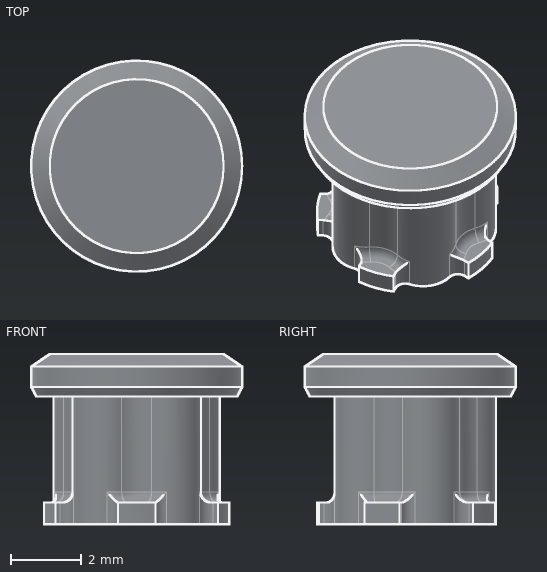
import cadquery as cq
import math

LOBE_COUNT = 5
PITCH_ANGLE = 360 / LOBE_COUNT
FIRST_FOOT_ANGLE = -90
TOTAL_HEIGHT = 4.84

HEAD_RADIUS = 3.0
HEAD_HEIGHT = 1.21
TOP_BEVEL_WIDTH = 0.53
TOP_BEVEL_HEIGHT = 0.36
BOTTOM_BEVEL_WIDTH = 0.14
BOTTOM_BEVEL_HEIGHT = 0.27
STEM_HEIGHT = TOTAL_HEIGHT - HEAD_HEIGHT

LOBE_RADIUS = 0.95
LOBE_CENTER_RADIUS = 1.49
VALLEY_RADIUS = 0.9

FOOT_OUTER_RADIUS = 2.65
FOOT_WIDTH = 1.06
FOOT_HEIGHT = 0.62
FOOT_FILLET = 0.3


def polar(radius, degrees):
    """Point at the given radius and angle around the Z axis."""
    angle = math.radians(degrees)
    return (radius * math.cos(angle), radius * math.sin(angle))


def make_head():
    """Revolved head, bevelled above and below its cylindrical rim."""
    bottom_radius = HEAD_RADIUS - BOTTOM_BEVEL_WIDTH
    top_radius = HEAD_RADIUS - TOP_BEVEL_WIDTH
    profile = [
        (0, STEM_HEIGHT),
        (bottom_radius, STEM_HEIGHT),
        (HEAD_RADIUS, STEM_HEIGHT + BOTTOM_BEVEL_HEIGHT),
        (HEAD_RADIUS, TOTAL_HEIGHT - TOP_BEVEL_HEIGHT),
        (top_radius, TOTAL_HEIGHT),
        (0, TOTAL_HEIGHT),
    ]
    return cq.Workplane("XZ").polyline(profile).close().revolve(360, (0, 0), (0, 1))


def make_stem():
    """Prism of alternating, mutually tangent lobe and valley arcs."""
    half_pitch = math.radians(PITCH_ANGLE / 2)
    lobe_offset = LOBE_CENTER_RADIUS * math.sin(half_pitch)
    lobe_depth = LOBE_CENTER_RADIUS * math.cos(half_pitch)
    center_gap = LOBE_RADIUS + VALLEY_RADIUS
    valley_center_radius = lobe_depth + math.sqrt(center_gap**2 - lobe_offset**2)
    valley_floor_radius = valley_center_radius - VALLEY_RADIUS
    lobe_tip_radius = LOBE_CENTER_RADIUS + LOBE_RADIUS

    lobe_share = LOBE_RADIUS / center_gap
    tangent_along = lobe_depth + (valley_center_radius - lobe_depth) * lobe_share
    tangent_across = lobe_offset * (1 - lobe_share)
    tangent_radius = math.hypot(tangent_along, tangent_across)
    tangent_angle = math.degrees(math.atan2(tangent_across, tangent_along))

    outline = cq.Workplane("XY")
    outline = outline.moveTo(*polar(tangent_radius, FIRST_FOOT_ANGLE - tangent_angle))
    for index in range(LOBE_COUNT):
        valley_angle = FIRST_FOOT_ANGLE + index * PITCH_ANGLE
        lobe_angle = valley_angle + PITCH_ANGLE / 2
        next_valley_angle = valley_angle + PITCH_ANGLE
        outline = outline.threePointArc(
            polar(valley_floor_radius, valley_angle),
            polar(tangent_radius, valley_angle + tangent_angle),
        )
        outline = outline.threePointArc(
            polar(lobe_tip_radius, lobe_angle),
            polar(tangent_radius, next_valley_angle - tangent_angle),
        )
    return outline.close().extrude(STEM_HEIGHT)


def make_coved_flange():
    """Foot-high disc around the stem, with a concave fillet where the two meet."""
    disc = cq.Workplane("XY").circle(FOOT_OUTER_RADIUS).extrude(FOOT_HEIGHT)
    flange = disc.union(make_stem())
    shoulder = flange.faces("+Z").faces("<Z")
    stem_outline = shoulder.val().innerWires()[0]
    return flange.newObject(stem_outline.Edges()).fillet(FOOT_FILLET)


def make_foot_column():
    """Radial bar over one foot, flared by fillets onto the lobes on either side."""
    half_width = FOOT_WIDTH / 2
    half_pitch = math.radians(PITCH_ANGLE / 2)
    lobe_along = LOBE_CENTER_RADIUS * math.cos(half_pitch)
    lobe_across = LOBE_CENTER_RADIUS * math.sin(half_pitch)

    fillet_across = half_width + FOOT_FILLET
    reach = LOBE_RADIUS + FOOT_FILLET
    fillet_along = lobe_along + math.sqrt(reach**2 - (lobe_across - fillet_across) ** 2)
    lobe_share = LOBE_RADIUS / reach
    contact_along = lobe_along + (fillet_along - lobe_along) * lobe_share
    contact_across = lobe_across + (fillet_across - lobe_across) * lobe_share
    middle_along = fillet_along - FOOT_FILLET * math.sin(math.pi / 4)
    middle_across = fillet_across - FOOT_FILLET * math.cos(math.pi / 4)
    corner_along = math.sqrt(FOOT_OUTER_RADIUS**2 - half_width**2)

    return (
        cq.Workplane("XY")
        .moveTo(0, contact_across)
        .lineTo(contact_along, contact_across)
        .threePointArc((middle_along, middle_across), (fillet_along, half_width))
        .lineTo(corner_along, half_width)
        .threePointArc((FOOT_OUTER_RADIUS, 0), (corner_along, -half_width))
        .lineTo(fillet_along, -half_width)
        .threePointArc((middle_along, -middle_across), (contact_along, -contact_across))
        .lineTo(0, -contact_across)
        .close()
        .extrude(FOOT_HEIGHT + FOOT_FILLET)
    )


def make_feet():
    """Feet cut from the coved flange, so the cove mitres with the side fillets."""
    flange = make_coved_flange()
    column = make_foot_column()
    feet = cq.Workplane("XY")
    for index in range(LOBE_COUNT):
        angle = FIRST_FOOT_ANGLE + index * PITCH_ANGLE
        feet = feet.add(column.rotate((0, 0, 0), (0, 0, 1), angle).intersect(flange))
    return feet.combine()


result = make_stem().union(make_feet()).union(make_head())